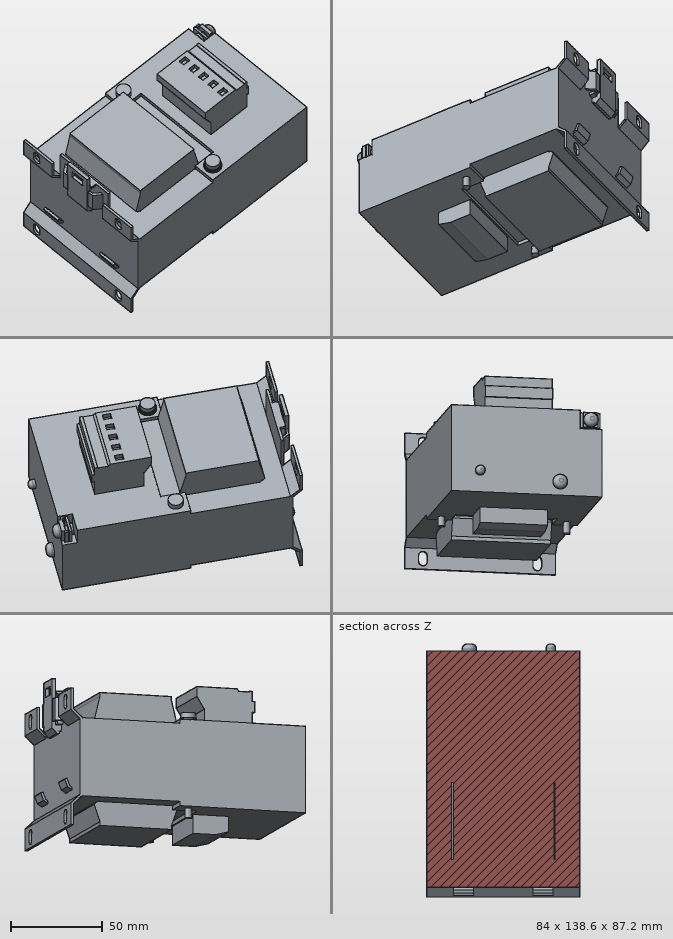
import cadquery as cq


width = 84.0
half_width = width / 2
depth = 138.6

sheet = 1.5
plate_back_y = 6.8
plate_front_y = plate_back_y - sheet
bend_z = 21.8
flange_z = 26.3
flange_tip_z = 38.0
ear_inner_x = 19.7
tab_half_width = 18.8
tab_top_z = 42.1
slot_width = 4.9
slot_length = 8.0
slot_x = 31.9
slot_z = 32.0

core_half_height = 21.8
core_back_y = 76.5
core_leg = 13.9
window_half_width = 28.3
window_front_y = plate_back_y + core_leg
window_back_y = core_back_y - core_leg

coil_left_x = -27.5
coil_right_x = 27.9
coil_mid_y = (window_front_y + window_back_y) / 2
coil_flat_half = 20.5
coil_wide_half = 23.8
coil_foot_half = 22.3
coil_shoulder_z = 23.4
coil_rim = 2.1
coil_top_z = 39.1
coil_bottom_z = -34.9

cover_front_y = window_back_y
cover_back_y = 134.7
cover_half_height = 24.1

terminal_half_width = 18.8
terminal_pitch = 7.5
terminal_count = 5
terminal_hole_y = 96.7
terminal_hole = (3.5, 4.5)
terminal_hole_depth = 2.8
terminal_top_z = 47.3

clip_half_width = 7.8
clip_top_z = 49.2
clip_bottom_z = 18.8
clip_thickness = 2.1
clip_foot_y = 4.2
clip_chamfer = 2.8
clip_heel = 1.4
clip_window = (8.2, 4.7)
clip_window_z = 43.1
bridge_half_width = 9.1
bridge_height = 1.5
arm_front_y = 0.5
arm_back_y = 1.8
arm_bottom_z = 25.4
arm_top_z = 38.0
saddle_half_width = 10.7
saddle_height = 1.8

hook_width = 11.1
hook_x = 21.8

bolt_x = 34.9
bolt_y = 69.6
bolt_head_radius = 4.2
left_head_top_z = 27.3
right_head_top_z = 28.7
bolt_shank_radius = 2.0
left_tip_z = -30.5
right_tip_z = -29.4
washer_radius = 5.0
washer_height = 0.7
collar_radius = 4.6
collar_height = 1.7

screw_radius = 4.0
screw_place = (-18.6, -16.6)
small_screw_radius = 2.6
small_screw_place = (26.0, -12.2)
screw_rim = 1.0
screw_flat_radius = 0.3
screw_height = depth - cover_back_y

earth_x = -35.8
earth_z = 18.8
notch_right_x = -30.0
notch_front_y = 126.4
notch_floor_z = 13.7
clamp_left_x = -41.2
clamp_half_height = 4.2
clamp_side = 1.1
clamp_back_y = 133.2
bridge_front_y = 132.4
side_front_y = 131.1
pressure_plate_back_y = 130.5
pressure_plate_front_y = 129.2
earth_shank_radius = 2.2
nut_radius = 3.3
nut_front_y = 127.7


def box(x0, x1, y0, y1, z0, z1):
    """Block between two opposite corners."""
    return cq.Workplane("XY").box(x1 - x0, y1 - y0, z1 - z0, centered=False).translate((x0, y0, z0))


def side_prism(points, x0, x1):
    """Extrude a closed (y, z) outline from x0 to x1."""
    return cq.Workplane("YZ").polyline(points).close().extrude(x1 - x0).translate((x0, 0, 0))


def post(x, y, radius, z0, z1):
    """Vertical cylinder."""
    return cq.Workplane("XY").center(x, y).circle(radius).extrude(z1 - z0).translate((0, 0, z0))


def rear_cylinder(x, z, radius, y0, y1):
    """Cylinder along Y."""
    return cq.Workplane("XZ").center(x, z).circle(radius).extrude(y0 - y1).translate((0, y0, 0))


def flange_outline(side):
    """Section of one cranked flange; side is +1 for the upper edge and -1 for the lower."""
    crank = sheet / 2
    return [
        (plate_front_y, side * (bend_z - crank)),
        (0, side * (flange_z - crank / 2)),
        (0, side * flange_tip_z),
        (sheet, side * flange_tip_z),
        (sheet, side * flange_z),
        (plate_back_y, side * bend_z),
        (plate_back_y, side * (bend_z - crank)),
    ]


def make_foot_plate():
    plate = box(-half_width, half_width, plate_front_y, plate_back_y, -bend_z, bend_z)
    plate = plate.union(side_prism(flange_outline(-1), -half_width, half_width))
    plate = plate.union(side_prism(flange_outline(1), -half_width, -ear_inner_x))
    plate = plate.union(side_prism(flange_outline(1), ear_inner_x, half_width))
    plate = plate.union(box(-tab_half_width, tab_half_width, plate_front_y, plate_back_y, 0, tab_top_z))
    slots = (
        cq.Workplane("XZ")
        .rarray(2 * slot_x, 2 * slot_z, 2, 2)
        .slot2D(slot_length, slot_width, 90)
        .extrude(-sheet)
    )
    return plate.cut(slots)


def make_hooks():
    outline = [
        (plate_front_y, -16.0), (2.6, -14.3), (1.0, -10.1),
        (2.4, -9.5), (3.9, -13.5), (plate_front_y, -14.7),
    ]
    left = side_prism(outline, -hook_x - hook_width / 2, -hook_x + hook_width / 2)
    return left.union(left.mirror("YZ"))


def make_clip():
    body_outline = [
        (0, clip_top_z),
        (0, clip_bottom_z + clip_chamfer),
        (clip_chamfer, clip_bottom_z),
        (clip_foot_y, clip_bottom_z),
        (clip_foot_y, clip_bottom_z + clip_heel),
        (plate_front_y, clip_bottom_z + clip_heel),
        (plate_front_y, arm_bottom_z),
        (clip_thickness, arm_bottom_z),
        (clip_thickness, clip_top_z),
    ]
    clip = side_prism(body_outline, -clip_half_width, clip_half_width)
    window = cq.Workplane("XZ").center(0, clip_window_z).rect(*clip_window).extrude(-clip_thickness)
    clip = clip.cut(window)
    bridge = box(-bridge_half_width, bridge_half_width, clip_thickness, plate_front_y,
                 tab_top_z - bridge_height, tab_top_z)
    saddle = box(-saddle_half_width, saddle_half_width, clip_thickness, plate_front_y,
                 arm_bottom_z - saddle_height, arm_bottom_z)
    arm_outline = [
        (-clip_half_width, arm_front_y),
        (-11.4, arm_front_y),
        (-14.8, plate_front_y),
        (-13.0, plate_front_y),
        (-10.3, arm_back_y),
        (-clip_half_width, arm_back_y),
    ]
    arm = (
        cq.Workplane("XY", origin=(0, 0, arm_bottom_z))
        .polyline(arm_outline).close()
        .extrude(arm_top_z - arm_bottom_z)
    )
    return clip.union(bridge).union(saddle).union(arm).union(arm.mirror("YZ"))


def make_core():
    core = box(-half_width, half_width, plate_back_y, core_back_y, -core_half_height, core_half_height)
    window = box(-window_half_width, window_half_width, window_front_y, window_back_y,
                 -core_half_height, core_half_height)
    return core.cut(window)


def coil_half(tip_z):
    """Coil from mid-height to one tapered end."""
    side = 1 if tip_z > 0 else -1
    inner_half = (window_back_y - window_front_y) / 2
    right_side = [
        (inner_half, 0),
        (inner_half, side * core_half_height),
        (coil_foot_half, side * core_half_height),
        (coil_wide_half, side * coil_shoulder_z),
        (coil_flat_half, tip_z - side * coil_rim),
        (coil_flat_half, tip_z),
    ]
    left_side = [(-y, z) for y, z in reversed(right_side)]
    outline = [(coil_mid_y + y, z) for y, z in right_side + left_side]
    return side_prism(outline, coil_left_x, coil_right_x)


def make_cover():
    cover = box(-half_width, half_width, cover_front_y, cover_back_y, -cover_half_height, cover_half_height)
    coil_recess = box(-window_half_width, window_half_width, cover_front_y, core_back_y,
                      core_half_height, cover_half_height)
    corner_notch = box(-half_width, notch_right_x, notch_front_y, cover_back_y,
                       notch_floor_z, cover_half_height)
    return cover.cut(coil_recess).cut(coil_recess.mirror("XY")).cut(corner_notch)


def make_top_terminals():
    outline = [
        (83.9, 0), (83.9, 34.8), (79.5, 41.7), (79.5, terminal_top_z),
        (102.5, terminal_top_z), (103.8, 45.9), (109.6, 45.9), (109.6, 46.3), (111.5, 46.3),
        (111.5, 40.7), (112.8, 40.7), (112.8, 34.6), (111.5, 34.6), (111.5, 0),
    ]
    block = side_prism(outline, -terminal_half_width, terminal_half_width)
    holes = (
        cq.Workplane("XY", origin=(0, terminal_hole_y, terminal_top_z))
        .rarray(terminal_pitch, 1.4, terminal_count, 1)
        .rect(*terminal_hole)
        .extrude(-terminal_hole_depth)
    )
    return block.cut(holes)


def make_bottom_terminals():
    outline = [(77.3, 0), (77.3, -34.6), (90.2, -34.6), (97.9, -32.7), (97.9, 0)]
    return side_prism(outline, -terminal_half_width, terminal_half_width)


def make_bolt(x, head_top_z, tip_z):
    """Vertical bolt whose head stands on the cover and whose shank leaves it below."""
    head = post(x, bolt_y, bolt_head_radius, 0, head_top_z)
    shank = post(x, bolt_y, bolt_shank_radius, tip_z, 0)
    return head.union(shank)


def make_washers():
    washer = post(bolt_x, bolt_y, washer_radius, 0, cover_half_height + washer_height)
    collar = post(bolt_x, bolt_y, collar_radius, 0, cover_half_height + collar_height)
    return washer.union(collar)


def dome_screw(x, z, radius):
    """Round-headed screw standing on the rear face: a short rim, then a rounded edge up to a small flat."""
    rounding = min(screw_height - screw_rim, radius - screw_flat_radius)
    return rear_cylinder(x, z, radius, cover_back_y, depth).faces(">Y").edges().fillet(rounding)


def make_earth_terminal():
    """Screw with a U-shaped clamp, a pressure plate and a nut; the clamp meets the notch wall."""
    z0 = earth_z - clamp_half_height
    z1 = earth_z + clamp_half_height
    head = dome_screw(earth_x, earth_z, screw_radius)
    collar = box(earth_x - screw_radius, earth_x + screw_radius, bridge_front_y, cover_back_y, z0, z1)
    bridge = box(clamp_left_x, notch_right_x, bridge_front_y, clamp_back_y, z0, z1)
    left_side = box(clamp_left_x, clamp_left_x + clamp_side, side_front_y, clamp_back_y, z0, z1)
    right_side = box(notch_right_x - clamp_side, notch_right_x, side_front_y, clamp_back_y, z0, z1)
    plate = box(clamp_left_x, notch_right_x, pressure_plate_front_y, pressure_plate_back_y, z0, z1)
    shank = rear_cylinder(earth_x, earth_z, earth_shank_radius, pressure_plate_front_y, bridge_front_y)
    nut = rear_cylinder(earth_x, earth_z, nut_radius, nut_front_y, pressure_plate_front_y)
    terminal = head
    for piece in (collar, bridge, left_side, right_side, plate, shank, nut):
        terminal = terminal.union(piece)
    return terminal


result = make_foot_plate()
features = [
    make_hooks(),
    make_clip(),
    make_core(),
    coil_half(coil_top_z),
    coil_half(coil_bottom_z),
    make_cover(),
    make_top_terminals(),
    make_bottom_terminals(),
    make_bolt(-bolt_x, left_head_top_z, left_tip_z),
    make_bolt(bolt_x, right_head_top_z, right_tip_z),
    make_washers(),
    dome_screw(*screw_place, screw_radius),
    dome_screw(*small_screw_place, small_screw_radius),
    make_earth_terminal(),
]
for feature in features:
    result = result.union(feature)